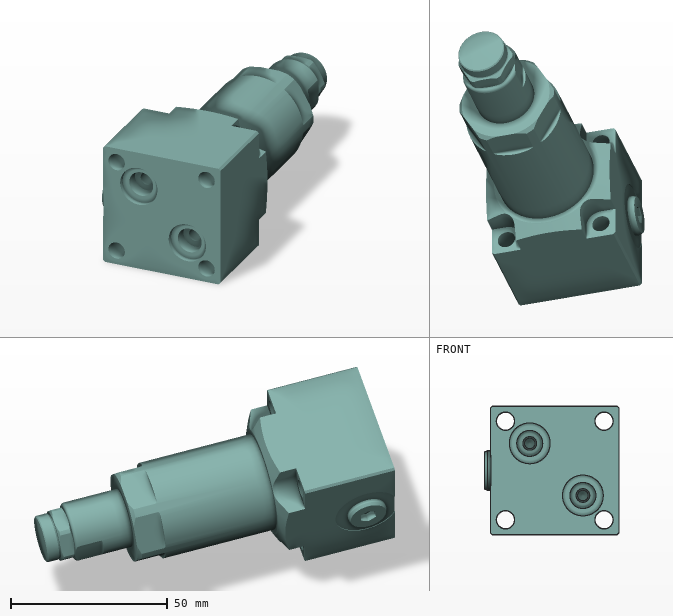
import cadquery as cq
import math


BLOCK_WIDTH = 41.3
BLOCK_LENGTH = 38.2
BLOCK_EDGE_CHAMFER = 0.7
BEVEL_RADIUS = 17.5
BEVEL_ANGLE = 25.0

HOLE_OFFSET = 15.8
HOLE_DIAMETER = 5.8
POCKET_RADIUS = 4.9
POCKET_START = 30.1

PORT_CENTERS = [(-8.0, 8.7), (9.0, -8.0)]
PORT_SEAT_DIAMETER = 13.1
PORT_SEAT_DEPTH = 1.9
PORT_BORE_DIAMETER = 8.3
PORT_BORE_DEPTH = 6.3
PORT_STEP_DIAMETER = 4.4
PORT_STEP_DEPTH = 11.3
PORT_DRILL_DIAMETER = 3.4
PORT_DRILL_DEPTH = 15.8
DRILL_POINT_ANGLE = 118.0

PLUG_Y = 9.5
PLUG_DIAMETER = 12.7
PLUG_HEIGHT = 1.9
PLUG_CHAMFER_HEIGHT = 1.0
PLUG_CHAMFER_WIDTH = 0.5
SOCKET_ACROSS_FLATS = 5.1
SOCKET_DEPTH = 2.8
SPOTFACE_DIAMETER = 20.9
SPOTFACE_DEPTH = 0.2

TUBE_RADIUS = 15.8
TUBE_END = 84.5
TUBE_CHAMFER = 1.1
TUBE_FLATS_START = 75.4
TUBE_APOTHEM = 14.3
TUBE_FLAT_COUNT = 6
TUBE_FIRST_FLAT_ANGLE = 30.0

NECK_RADIUS = 9.6
NECK_END = 103.4
NECK_EDGE_RADIUS = 1.1
NECK_FLATS_START = 94.3
NECK_APOTHEM = 8.7
NECK_FLAT_COUNT = 2
NECK_FIRST_FLAT_ANGLE = 0.0

FLAT_ROOT_RADIUS = 0.6

NUT_RADIUS = 9.0
NUT_END = 108.0
NUT_APOTHEM = 8.1
NUT_CHAMFER_WIDTH = 1.0
NUT_CHAMFER_LENGTH = 0.6

GROOVE_RADIUS = 7.2
CAP_RADIUS = 7.7
CAP_START = 108.5
CAP_CHAMFER = 0.3
DOME_HEIGHT = 0.5
TOTAL_LENGTH = 112.8


def cylinder_along_y(x, z, diameter, start, length):
    plane = cq.Plane(origin=(x, start, z), xDir=(1, 0, 0), normal=(0, 1, 0))
    return cq.Workplane(plane).circle(diameter / 2).extrude(length)


def turned(profile):
    """Revolve a closed (radius, Y) profile about the Y axis."""
    return profile.close().revolve(360, (0, 0, 0), (0, 1, 0))


def cut_flats(body, count, first_angle, apothem, outer_radius, start, end):
    """Mill equally spaced flats with a rounded root at the starting shoulder."""
    flat = (
        cq.Workplane("XY")
        .box(outer_radius, end - start, 2 * outer_radius, centered=(False, False, True))
        .translate((apothem, start, 0))
        .edges("<X and <Y")
        .fillet(FLAT_ROOT_RADIUS)
    )
    for i in range(count):
        body = body.cut(flat.rotate((0, 0, 0), (0, 1, 0), first_angle + i * 360 / count))
    return body


def make_block():
    block = (
        cq.Workplane("XY")
        .box(BLOCK_WIDTH, BLOCK_LENGTH, BLOCK_WIDTH, centered=(True, False, True))
        .edges("|Y")
        .chamfer(BLOCK_EDGE_CHAMFER)
    )

    envelope_radius = BLOCK_WIDTH
    bevel_length = (envelope_radius - BEVEL_RADIUS) * math.tan(math.radians(BEVEL_ANGLE))
    envelope = turned(
        cq.Workplane("XY")
        .moveTo(0, 0)
        .lineTo(envelope_radius, 0)
        .lineTo(envelope_radius, BLOCK_LENGTH - bevel_length)
        .lineTo(BEVEL_RADIUS, BLOCK_LENGTH)
        .lineTo(0, BLOCK_LENGTH)
    )
    block = block.intersect(envelope)

    pocket_length = BLOCK_LENGTH - POCKET_START
    pocket_width = BLOCK_WIDTH / 2
    pocket_center = HOLE_OFFSET - POCKET_RADIUS + pocket_width / 2
    for side_x in (-1, 1):
        for side_z in (-1, 1):
            hole = cylinder_along_y(
                side_x * HOLE_OFFSET, side_z * HOLE_OFFSET, HOLE_DIAMETER, 0, BLOCK_LENGTH
            )
            pocket = (
                cq.Workplane("XY")
                .box(pocket_width, pocket_length, pocket_width, centered=(True, False, True))
                .edges("|Y")
                .fillet(POCKET_RADIUS)
                .translate((side_x * pocket_center, POCKET_START, side_z * pocket_center))
            )
            block = block.cut(hole).cut(pocket)
    return block


def make_port(x, z):
    """Seat, bore and stepped, pointed drilling of one port, as a solid to cut away."""
    drill_radius = PORT_DRILL_DIAMETER / 2
    point_length = drill_radius / math.tan(math.radians(DRILL_POINT_ANGLE / 2))
    port = turned(
        cq.Workplane("XY")
        .moveTo(0, 0)
        .lineTo(PORT_SEAT_DIAMETER / 2, 0)
        .lineTo(PORT_SEAT_DIAMETER / 2, PORT_SEAT_DEPTH)
        .lineTo(PORT_BORE_DIAMETER / 2, PORT_SEAT_DEPTH)
        .lineTo(PORT_BORE_DIAMETER / 2, PORT_BORE_DEPTH)
        .lineTo(PORT_STEP_DIAMETER / 2, PORT_BORE_DEPTH)
        .lineTo(PORT_STEP_DIAMETER / 2, PORT_STEP_DEPTH)
        .lineTo(drill_radius, PORT_STEP_DEPTH)
        .lineTo(drill_radius, PORT_DRILL_DEPTH)
        .lineTo(0, PORT_DRILL_DEPTH + point_length)
    )
    return port.translate((x, 0, z))


def add_plug(block):
    """Set the screw plug into a shallow spotface on the -X side."""
    side_x = -BLOCK_WIDTH / 2

    def outward(x):
        return cq.Workplane(cq.Plane(origin=(x, PLUG_Y, 0), xDir=(0, 1, 0), normal=(-1, 0, 0)))

    floor_x = side_x + SPOTFACE_DEPTH
    plug = (
        outward(floor_x)
        .circle(PLUG_DIAMETER / 2)
        .extrude(PLUG_HEIGHT + SPOTFACE_DEPTH)
        .faces("<X")
        .edges()
        .chamfer(PLUG_CHAMFER_HEIGHT, PLUG_CHAMFER_WIDTH)
    )
    socket = (
        outward(side_x - PLUG_HEIGHT)
        .polygon(6, SOCKET_ACROSS_FLATS, circumscribed=True)
        .extrude(-SOCKET_DEPTH)
    )
    spotface = outward(floor_x).circle(SPOTFACE_DIAMETER / 2).extrude(SPOTFACE_DEPTH)
    return block.cut(spotface).union(plug).cut(socket)


def make_tube():
    tube = turned(
        cq.Workplane("XY")
        .moveTo(0, BLOCK_LENGTH)
        .lineTo(TUBE_RADIUS, BLOCK_LENGTH)
        .lineTo(TUBE_RADIUS, TUBE_END - TUBE_CHAMFER)
        .lineTo(TUBE_RADIUS - TUBE_CHAMFER, TUBE_END)
        .lineTo(0, TUBE_END)
    )
    return cut_flats(
        tube, TUBE_FLAT_COUNT, TUBE_FIRST_FLAT_ANGLE,
        TUBE_APOTHEM, TUBE_RADIUS, TUBE_FLATS_START, TUBE_END,
    )


def make_neck():
    neck = cylinder_along_y(0, 0, 2 * NECK_RADIUS, TUBE_END, NECK_END - TUBE_END)
    neck = neck.faces(">Y").edges().fillet(NECK_EDGE_RADIUS)
    return cut_flats(
        neck, NECK_FLAT_COUNT, NECK_FIRST_FLAT_ANGLE,
        NECK_APOTHEM, NECK_RADIUS, NECK_FLATS_START, NECK_END,
    )


def make_nut():
    nut_length = NUT_END - NECK_END
    hexagon = (
        cq.Workplane(cq.Plane(origin=(0, NECK_END, 0), xDir=(0, 0, 1), normal=(0, 1, 0)))
        .polygon(6, 2 * NUT_APOTHEM, circumscribed=True)
        .extrude(nut_length)
    )
    blank = (
        cylinder_along_y(0, 0, 2 * NUT_RADIUS, NECK_END, nut_length)
        .faces("<Y or >Y")
        .edges()
        .chamfer(NUT_CHAMFER_LENGTH, NUT_CHAMFER_WIDTH)
    )
    return blank.intersect(hexagon)


def make_cap():
    chamfer_end = TOTAL_LENGTH - DOME_HEIGHT
    rim_radius = CAP_RADIUS - CAP_CHAMFER
    dome_radius = (rim_radius**2 + DOME_HEIGHT**2) / (2 * DOME_HEIGHT)
    return turned(
        cq.Workplane("XY")
        .moveTo(0, NUT_END)
        .lineTo(GROOVE_RADIUS, NUT_END)
        .lineTo(GROOVE_RADIUS, CAP_START)
        .lineTo(CAP_RADIUS, CAP_START)
        .lineTo(CAP_RADIUS, chamfer_end - CAP_CHAMFER)
        .lineTo(rim_radius, chamfer_end)
        .radiusArc((0, TOTAL_LENGTH), -dome_radius)
    )


body = make_block()
for port_x, port_z in PORT_CENTERS:
    body = body.cut(make_port(port_x, port_z))
body = add_plug(body)
result = body.union(make_tube()).union(make_neck()).union(make_nut()).union(make_cap())